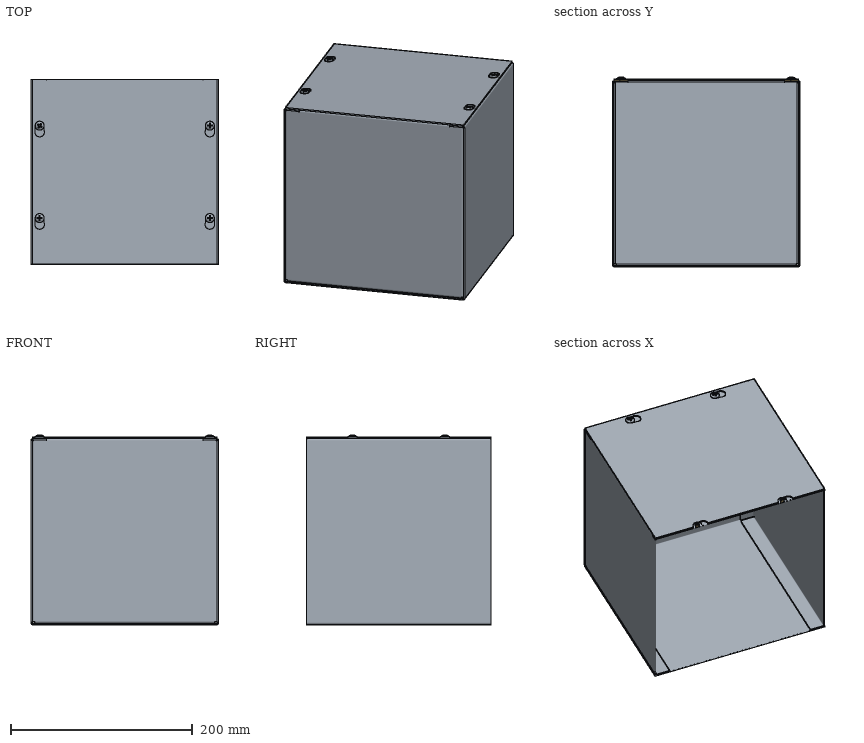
import cadquery as cq
import math

SHEET = 1.57
BEND_OUTER = 2.4
BEND_INNER = BEND_OUTER - SHEET

HEAD_DIAMETER = 9.8
HEAD_RIM = 0.6
DOME_HEIGHT = 1.9
DOME_RADIUS = ((HEAD_DIAMETER / 2) ** 2 + DOME_HEIGHT ** 2) / (2 * DOME_HEIGHT)
HEAD_HEIGHT = HEAD_RIM + DOME_HEIGHT
SHANK_DIAMETER = 4.2
SHANK_LENGTH = 2 * SHEET
CROSS_SPAN = 5.5
CROSS_ARM = 1.3
CROSS_DEPTH = 1.0
CROSS_ANGLES = [0, -35, 0, 0]
CROWN_LOSS = DOME_RADIUS - math.sqrt(DOME_RADIUS ** 2 - CROSS_ARM ** 2 / 2)

WIDTH = 206.5
DEPTH = 203.3
HEIGHT = 209.0
WRAP_HEIGHT = HEIGHT + CROWN_LOSS - HEAD_HEIGHT - SHEET
FLANGE = 17.3
RELIEF_HEIGHT = 1.7

COVER_WIDTH = WIDTH - 2 * SHEET
COVER_DEPTH = 202.9

SCREW_X = 93.5
SCREW_Y = DEPTH / 4
SCREW_POSITIONS = [(x, y) for x in (-SCREW_X, SCREW_X) for y in (-SCREW_Y, SCREW_Y)]
KEYHOLE_SLOT_WIDTH = 9.8
KEYHOLE_ENTRY_DIAMETER = 10.5
KEYHOLE_OFFSET = 7.0


def box(x0, x1, y0, y1, z0, z1):
    """Box given by its limits on each axis."""
    return cq.Workplane("XY").box(x1 - x0, y1 - y0, z1 - z0, centered=False).translate((x0, y0, z0))


def make_wrap():
    """Bent sheet forming the base and both sides, with a top flange on each side."""
    outer = box(-WIDTH / 2, WIDTH / 2, -DEPTH / 2, DEPTH / 2, 0, WRAP_HEIGHT)
    outer = outer.edges("|Y").fillet(BEND_OUTER)
    inner_x = WIDTH / 2 - SHEET
    inner = box(-inner_x, inner_x, -DEPTH / 2, DEPTH / 2, SHEET, WRAP_HEIGHT - SHEET)
    inner = inner.edges("|Y").fillet(BEND_INNER)
    mouth_x = WIDTH / 2 - FLANGE
    mouth = box(-mouth_x, mouth_x, -DEPTH / 2, DEPTH / 2, WRAP_HEIGHT / 2, WRAP_HEIGHT)
    screw_holes = (
        cq.Workplane("XY", origin=(0, 0, WRAP_HEIGHT - SHEET))
        .pushPoints(SCREW_POSITIONS)
        .circle(SHANK_DIAMETER / 2)
        .extrude(SHEET)
    )
    return outer.cut(inner).cut(mouth).cut(screw_holes)


def make_front_panel():
    """End panel between the wrap sides, with a flange bent inward on all four edges."""
    front_y = -DEPTH / 2
    back_y = front_y + FLANGE
    side_x = WIDTH / 2 - SHEET
    flat_x = side_x - BEND_OUTER
    top_flange_x = WIDTH / 2 - FLANGE
    shoulder_z = WRAP_HEIGHT - SHEET
    top_bend_z = WRAP_HEIGHT - BEND_OUTER

    tray = box(-side_x, side_x, front_y, back_y, SHEET, shoulder_z)
    tray = tray.faces("<Y").edges("not >Z").fillet(BEND_OUTER)
    cavity = box(-side_x + SHEET, side_x - SHEET, front_y + SHEET, back_y, 2 * SHEET, shoulder_z)
    cavity = cavity.faces("<Y").edges("not >Z").fillet(BEND_INNER)
    tray = tray.cut(cavity)

    base_relief = box(flat_x, side_x, front_y, back_y, SHEET, SHEET + RELIEF_HEIGHT)
    top_notch = box(
        side_x - BEND_INNER, side_x, front_y, back_y, shoulder_z - BEND_INNER, shoulder_z
    )
    for cutter in (base_relief, top_notch):
        tray = tray.cut(cutter).cut(cutter.mirror("YZ"))

    top_opening = box(-top_flange_x, top_flange_x, front_y, back_y, top_bend_z, shoulder_z)
    top_flange = (
        cq.Workplane("YZ", origin=(-top_flange_x, 0, 0))
        .moveTo(front_y, top_bend_z)
        .radiusArc((front_y + BEND_OUTER, WRAP_HEIGHT), BEND_OUTER)
        .lineTo(back_y, WRAP_HEIGHT)
        .lineTo(back_y, shoulder_z)
        .lineTo(front_y + BEND_OUTER, shoulder_z)
        .radiusArc((front_y + SHEET, top_bend_z), -BEND_INNER)
        .close()
        .extrude(2 * top_flange_x)
    )
    return tray.cut(top_opening).union(top_flange)


def make_cover():
    """Flat cover with a keyhole at each screw."""
    base_z = WRAP_HEIGHT
    cover = box(
        -COVER_WIDTH / 2, COVER_WIDTH / 2, -COVER_DEPTH / 2, COVER_DEPTH / 2, base_z, base_z + SHEET
    )
    for x, y in SCREW_POSITIONS:
        plane = cq.Workplane("XY", origin=(x, y, base_z))
        seat = plane.circle(KEYHOLE_SLOT_WIDTH / 2).extrude(SHEET)
        slot = (
            plane.center(0, -KEYHOLE_OFFSET / 2).rect(KEYHOLE_SLOT_WIDTH, KEYHOLE_OFFSET).extrude(SHEET)
        )
        entry = plane.center(0, -KEYHOLE_OFFSET).circle(KEYHOLE_ENTRY_DIAMETER / 2).extrude(SHEET)
        cover = cover.cut(seat).cut(slot).cut(entry)
    return cover


def make_screw(x, y, cross_angle):
    """Dome-headed screw with a cross recess, resting on the cover."""
    rim_radius = HEAD_DIAMETER / 2
    shank_radius = SHANK_DIAMETER / 2
    screw = (
        cq.Workplane("XZ")
        .moveTo(0, -SHANK_LENGTH)
        .lineTo(shank_radius, -SHANK_LENGTH)
        .lineTo(shank_radius, 0)
        .lineTo(rim_radius, 0)
        .lineTo(rim_radius, HEAD_RIM)
        .radiusArc((0, HEAD_HEIGHT), -DOME_RADIUS)
        .close()
        .revolve(360, (0, 0, 0), (0, 1, 0))
    )
    recess = cq.Workplane("XY", origin=(0, 0, HEAD_HEIGHT - CROSS_DEPTH))
    for length_x, length_y in ((CROSS_SPAN, CROSS_ARM), (CROSS_ARM, CROSS_SPAN)):
        screw = screw.cut(recess.rect(length_x, length_y).extrude(CROSS_DEPTH))
    screw = screw.rotate((0, 0, 0), (0, 0, 1), cross_angle)
    return screw.translate((x, y, WRAP_HEIGHT + SHEET))


wrap = make_wrap()
front_panel = make_front_panel()
back_panel = front_panel.mirror("XZ")
cover = make_cover()
screws = [make_screw(x, y, angle) for (x, y), angle in zip(SCREW_POSITIONS, CROSS_ANGLES)]

result = cq.Compound.makeCompound(
    [wrap.val(), front_panel.val(), back_panel.val(), cover.val(), *[screw.val() for screw in screws]]
)